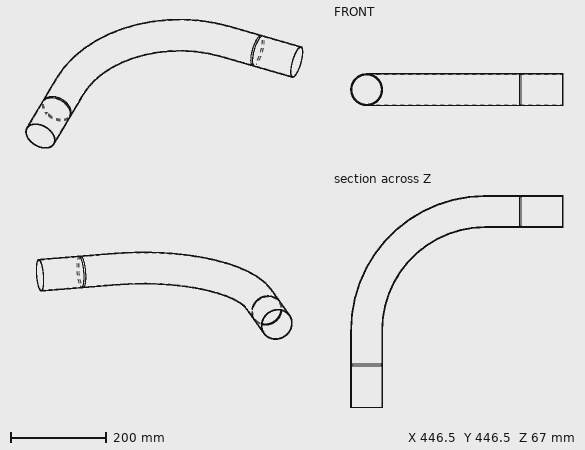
import cadquery as cq

OUTER_DIAMETER = 67.0
WALL = 1.5
BEND_RADIUS = 250.0
BEND_ANGLE = 90.0
LEG_LENGTH = 163.0
RIB_DEPTH_IN_LEG = 87.5
RIB_WIDTH = 4.0
RIB_HEIGHT = 1.0

OUTER_RADIUS = OUTER_DIAMETER / 2
BORE_RADIUS = OUTER_RADIUS - WALL

BEND_START = (0, 0, 0)
Y_LEG_OPEN_END = (0, -LEG_LENGTH, 0)
X_LEG_OPEN_END = (BEND_RADIUS + LEG_LENGTH, BEND_RADIUS, 0)
INTO_Y_LEG = (0, 1, 0)
INTO_X_LEG = (-1, 0, 0)


def ring(open_end, inward, offset, length, outer_radius, inner_radius):
    """A ring around a leg axis, starting at an offset in from the open end."""
    start = cq.Vector(*open_end) + cq.Vector(*inward) * offset
    plane = cq.Plane(origin=start.toTuple(), xDir=(0, 0, 1), normal=inward)
    return cq.Workplane(plane).circle(outer_radius).circle(inner_radius).extrude(length)


def bend():
    """The quarter-turn tube, swept about a vertical axis through the bend centre."""
    profile = cq.Workplane("XZ", origin=BEND_START).circle(OUTER_RADIUS).circle(BORE_RADIUS)
    return profile.revolve(BEND_ANGLE, (BEND_RADIUS, 0, 0), (BEND_RADIUS, -1, 0))


def leg(open_end, inward):
    """A straight tube with a shallow rib around its bore."""
    tube = ring(open_end, inward, 0, LEG_LENGTH, OUTER_RADIUS, BORE_RADIUS)
    rib = ring(open_end, inward, RIB_DEPTH_IN_LEG, RIB_WIDTH, OUTER_RADIUS, BORE_RADIUS - RIB_HEIGHT)
    return tube.union(rib)


result = (
    bend()
    .union(leg(Y_LEG_OPEN_END, INTO_Y_LEG))
    .union(leg(X_LEG_OPEN_END, INTO_X_LEG))
)